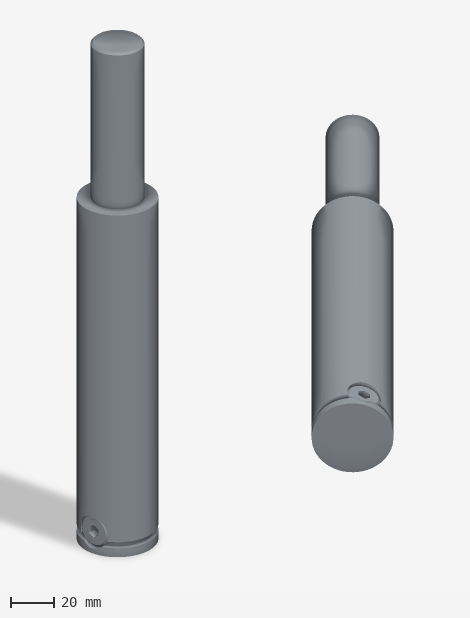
import cadquery as cq

total_length = 260.0
body_diameter = 38.0
body_length = 178.5
rod_diameter = 25.0
rod_chamfer = 1.0

groove_bottom = 4.7
groove_top = 7.8
groove_diameter = 33.5

port_height = 11.0
port_diameter = 16.5
plug_recess = 1.3
plug_chamfer = 1.3
socket_across_corners = 6.5
socket_depth = 4.0
port_depth = 7.8

body_radius = body_diameter / 2


def make_cylinder_with_rod():
    body = cq.Workplane("XY").circle(body_radius).extrude(body_length)
    rod = (
        cq.Workplane("XY", origin=(0, 0, body_length))
        .circle(rod_diameter / 2)
        .extrude(total_length - body_length)
        .faces(">Z")
        .chamfer(rod_chamfer)
    )
    return body.union(rod)


def make_groove():
    return (
        cq.Workplane("XY", origin=(0, 0, groove_bottom))
        .circle(body_radius)
        .circle(groove_diameter / 2)
        .extrude(groove_top - groove_bottom)
    )


def port_plane(recess):
    """Plane facing -Y on the port axis, set in from the body's outermost line."""
    return cq.Workplane("XZ", origin=(0, recess - body_radius, port_height))


def make_port_bore():
    return port_plane(0).circle(port_diameter / 2).extrude(-port_depth)


def make_plug():
    plug = (
        port_plane(plug_recess)
        .circle(port_diameter / 2)
        .extrude(plug_recess - port_depth)
        .faces("<Y")
        .chamfer(plug_chamfer)
    )
    socket = (
        port_plane(plug_recess)
        .transformed(rotate=(0, 0, 90))
        .polygon(6, socket_across_corners)
        .extrude(-socket_depth)
    )
    return plug.cut(socket)


cylinder = make_cylinder_with_rod().cut(make_groove())
result = cylinder.cut(make_port_bore()).union(make_plug())